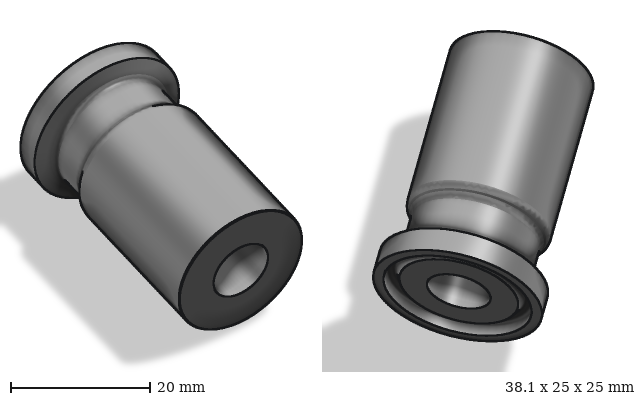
import cadquery as cq
import math

length = 38.1
flange_radius = 25.0 / 2
body_radius = 21.35 / 2
neck_radius = 19.05 / 2
bore_radius = 9.4 / 2

flange_rim_width = 3.65
flange_back_angle = math.radians(20)
neck_fillet = 1.0

shoulder_start = 11.1
shoulder_angle = math.radians(45)
shoulder_fillet = 1.52

end_chamfer = 0.1

recess_radius = 21.9 / 2
groove_center_depth = 1.5
groove_round = 0.8
core_slope_angle = math.radians(30)
core_face_depth = 0.72


def ring_edges(solid, axial_position, radius):
    """Select the circular edge at the given place along X."""
    tolerance = 0.02
    reach = radius + 0.4
    return solid.edges(
        cq.selectors.BoxSelector(
            (axial_position - tolerance, -reach, -reach),
            (axial_position + tolerance, reach, reach),
        )
    )


def make_body():
    flange_back_end = flange_rim_width + (flange_radius - neck_radius) * math.tan(flange_back_angle)
    shoulder_end = shoulder_start + (body_radius - neck_radius) / math.tan(shoulder_angle)
    body = (
        cq.Workplane("XY")
        .moveTo(0, 0)
        .lineTo(0, flange_radius)
        .lineTo(flange_rim_width, flange_radius)
        .lineTo(flange_back_end, neck_radius)
        .lineTo(shoulder_start, neck_radius)
        .lineTo(shoulder_end, body_radius)
        .lineTo(length, body_radius)
        .lineTo(length, 0)
        .close()
        .revolve(360, (0, 0, 0), (1, 0, 0))
    )
    body = ring_edges(body, flange_back_end, neck_radius).fillet(neck_fillet)
    body = ring_edges(body, shoulder_start, neck_radius).fillet(shoulder_fillet)
    body = ring_edges(body, shoulder_end, body_radius).fillet(shoulder_fillet)
    return body.faces(">X").edges().chamfer(end_chamfer)


def make_face_recess():
    """Recess around the core; its round bottom is tangent to the outer wall and the core slope."""
    groove_center_radius = recess_radius - groove_round
    slope_start_depth = groove_center_depth + groove_round * math.sin(core_slope_angle)
    slope_start_radius = groove_center_radius - groove_round * math.cos(core_slope_angle)
    core_face_radius = slope_start_radius - (slope_start_depth - core_face_depth) * math.tan(core_slope_angle)
    return (
        cq.Workplane("XY")
        .moveTo(0, 0)
        .lineTo(0, recess_radius)
        .lineTo(groove_center_depth, recess_radius)
        .threePointArc(
            (groove_center_depth + groove_round, groove_center_radius),
            (slope_start_depth, slope_start_radius),
        )
        .lineTo(core_face_depth, core_face_radius)
        .lineTo(core_face_depth, 0)
        .close()
        .revolve(360, (0, 0, 0), (1, 0, 0))
    )


def make_bore():
    return cq.Workplane("YZ").circle(bore_radius).extrude(length)


result = make_body().cut(make_face_recess()).cut(make_bore())